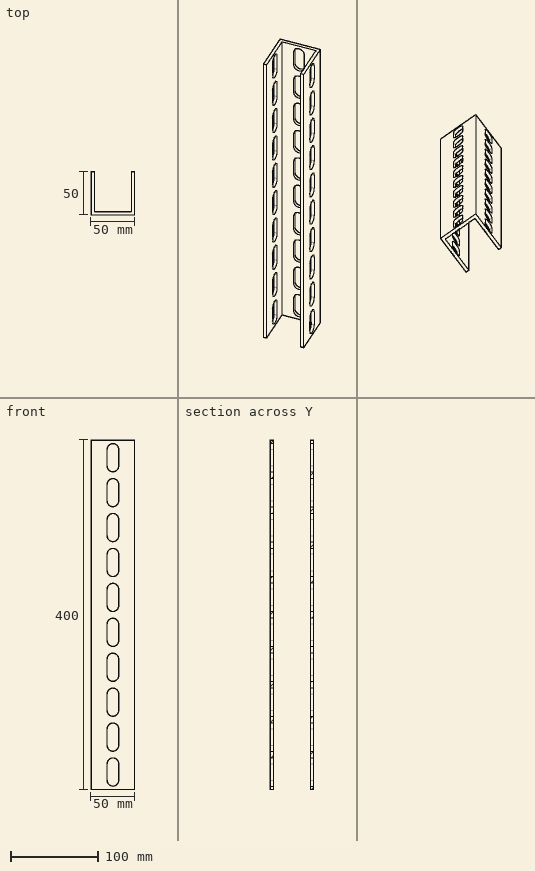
import cadquery as cq

width = 50.0
depth = 50.0
length = 400.0
wall = 4.0

slot_count = 10
slot_width = 13.0
slot_length = 32.0
slot_pitch = length / slot_count


def channel():
    """U-profile with its web on the -Y side and its flanges open toward +Y."""
    outer = cq.Workplane("XY").box(width, depth, length)
    cavity = cq.Workplane("XY").box(width - 2 * wall, depth, length).translate((0, wall, 0))
    return outer.cut(cavity)


def slot_row(plane, cut_depth):
    """Row of slot cutters, long axis along Z, reaching cut_depth to both sides of the plane."""
    return (
        cq.Workplane(plane)
        .rarray(1, slot_pitch, 1, slot_count)
        .slot2D(slot_length, slot_width, angle=90)
        .extrude(cut_depth, both=True)
    )


web_slots = slot_row("XZ", depth)
flange_slots = slot_row("YZ", width)

result = channel().cut(web_slots).cut(flange_slots)